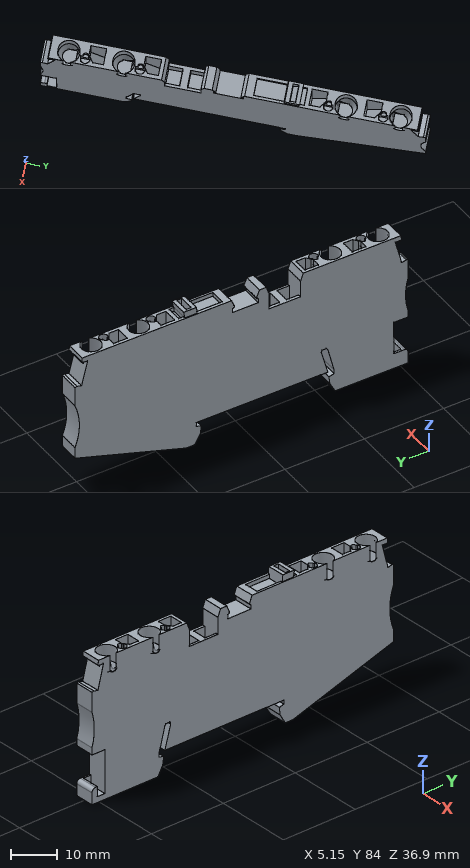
import cadquery as cq
import math

WIDTH = 5.15
LENGTH = 84.0
BODY_TOP = 35.2
PEG_TOP = 36.85
HALF_LENGTH = LENGTH / 2

LIP_REACH = 40.35
LIP_TOP_REACH = 40.2
LIP_EDGE_Z = 34.1
LIP_TIP_REACH = 39.85
LIP_TIP_Z = 33.6
RECESS_TOP_REACH = 38.8
RECESS_TOP_Z = 33.9
RECESS_BOTTOM_Z = 27.8
SHOULDER_PEAK_INSET = 0.5
SHOULDER_PEAK_Z = 28.1
SHOULDER_EDGE_Z = 27.95

HOLLOW_TOP_Z = 23.0
BACK_HOLLOW_BOTTOM_Z = 11.7
BACK_HOLLOW_DEPTH = 1.1
FRONT_HOLLOW_BOTTOM_Z = 14.2
FRONT_HOLLOW_DEPTH = 0.65

RAIL_Z = 5.85
HOOK_Z = 4.5
HOOK_RELIEF_Z = 4.85
BACK_CORNER_Z = 8.8
BACK_FOOT_OUTER_Y = 13.9
BACK_FOOT_INNER_Y = 11.8
BACK_FOOT_KNEE = (10.3, 2.6)
BACK_HOOK_TIP_Y = 10.15
BACK_HOOK_ROOT_Y = 11.4
FRONT_FOOT_INNER_Y = -23.6
FRONT_FOOT_KNEE = (-22.25, 2.5)
FRONT_HOOK_TIP_Y = -22.0

SLOT_BACK_BOTTOM_Y = -21.75
SLOT_BACK_TOP = (-20.1, 11.8)
SLOT_TOP_Z = 12.4
SLOT_TOP_BACK_Y = -20.25
SLOT_TOP_FRONT_Y = -21.4
SLOT_FRONT_TOP = (-21.75, 11.9)
SLOT_FRONT_BOTTOM_Y = -23.3

FOOT_NOTCH_TOP_Z = 12.4
FOOT_NOTCH_BOTTOM_Z = 4.0
FOOT_NOTCH_Y = -38.4
FOOT_ROUND = 1.0
FOOT_GROOVE_FRONT_Y = -40.5
FOOT_GROOVE_FLOOR_Z = 1.5
FOOT_GROOVE_WALL = 0.5

MARKER_FLOOR_Z = 31.9
MARKER_FRONT_Y = -4.2
MARKER_BACK_Y = 2.25
MARKER_UNDERCUT_Z = 32.9
MARKER_UNDERCUT = 0.5
MARKER_MOUTH_FRONT_Y = -4.5
MARKER_MOUTH_BACK_Y = 2.55
BRIDGE_FLOOR_Z = 29.1
BRIDGE_BACK_Y = -6.95
BRIDGE_FRONT_Y = -14.85
BRIDGE_FLARE = 0.7
NOTCH_KNEE_Z = 33.3

POCKET_LEFT = 0.76
POCKET_RIGHT = 4.55

PEG_SIDE_GAP = 0.2
PEG_BACK_Y = 14.5
PEG_BACK_FOOT_Y = 14.2
PEG_FRONT_Y = 11.25
PEG_FRONT_FOOT_Y = 11.0
PEG_SLOT_BACK_Y = 13.5
PEG_SLOT_FRONT_Y = 12.25
PEG_SLOT_DEPTH = 2.0
PEG_SLOT_SLOPE = 37.0
WINDOW_DEPTH = 1.0
WINDOW_FRONT_Y = 4.4
WINDOW_BACK_Y = 15.4

SHAFT_LENGTH = 3.1
SHAFT_DEPTH = 4.0

TERMINAL_REACHES = (36.15, 24.2)
FUNNEL_X = 2.9
FUNNEL_RADIUS = 2.4
FUNNEL_STRAIGHT = 4.0
FUNNEL_TAPER = 1.9
FUNNEL_FLOOR_RADIUS = 1.4
SEAT_HALF_WIDTH = 1.5
SEAT_START = 0.5
SEAT_TOP_REACH = 2.05
SEAT_FLOOR_REACH = 1.6
PROBE_X = 3.75
PROBE_OFFSET = 3.7
PROBE_RADIUS = 1.05
PROBE_FLAT_X = 3.3
PROBE_DEPTH = 3.0
RELIEF_X = 3.15
RELIEF_RADIUS = 0.6
RELIEF_DEPTH = 1.5
DRIVER_RIGHT = 4.3
DRIVER_NEAR = 4.35
DRIVER_FAR = 7.8
DRIVER_DEPTH = 8.0
DRIVER_SLOPE = 45.0
DRIVER_CORNER_X = 1.5
DRIVER_CORNER_Y = 1.1


def box(x_range, y_range, z_range):
    """Axis-aligned block given by its limits."""
    size = [high - low for low, high in (x_range, y_range, z_range)]
    block = cq.Workplane("XY").box(*size, centered=False)
    return block.translate((x_range[0], y_range[0], z_range[0]))


def side_prism(points, x_low, x_high):
    """Outline of (Y, Z) points extruded along X."""
    plane = cq.Workplane("YZ", origin=(x_low, 0, 0))
    return plane.polyline(points).close().extrude(x_high - x_low)


def cylinder(x, y, radius, z_low, z_high):
    plane = cq.Workplane("XY", origin=(x, y, z_low))
    return plane.circle(radius).extrude(z_high - z_low)


def end_outline(end):
    """Lip, recess and shoulder of one end, from top to shoulder; end is +1 (back) or -1 (front)."""
    reaches = [
        (LIP_TOP_REACH, BODY_TOP),
        (LIP_REACH, LIP_EDGE_Z),
        (LIP_TIP_REACH, LIP_TIP_Z),
        (LIP_TIP_REACH, RECESS_TOP_Z),
        (RECESS_TOP_REACH, RECESS_TOP_Z),
        (LIP_REACH, RECESS_BOTTOM_Z),
    ]
    points = [(end * reach, z) for reach, z in reaches]
    peak_y = end * (HALF_LENGTH - SHOULDER_PEAK_INSET)
    return points + [(peak_y, SHOULDER_PEAK_Z), (end * HALF_LENGTH, SHOULDER_EDGE_Z)]


def make_body():
    back_mid_z = (HOLLOW_TOP_Z + BACK_HOLLOW_BOTTOM_Z) / 2
    front_mid_z = (HOLLOW_TOP_Z + FRONT_HOLLOW_BOTTOM_Z) / 2
    underside = [
        (HALF_LENGTH, BACK_CORNER_Z),
        (BACK_FOOT_OUTER_Y, 0),
        (BACK_FOOT_INNER_Y, 0),
        BACK_FOOT_KNEE,
        (BACK_HOOK_TIP_Y, HOOK_Z),
        (BACK_HOOK_ROOT_Y, HOOK_RELIEF_Z),
        (BACK_HOOK_ROOT_Y, RAIL_Z),
        (SLOT_BACK_BOTTOM_Y, RAIL_Z),
        SLOT_BACK_TOP,
        (SLOT_TOP_BACK_Y, SLOT_TOP_Z),
        (SLOT_TOP_FRONT_Y, SLOT_TOP_Z),
        SLOT_FRONT_TOP,
        (SLOT_FRONT_BOTTOM_Y, RAIL_Z),
        (SLOT_FRONT_BOTTOM_Y, HOOK_RELIEF_Z),
        (FRONT_HOOK_TIP_Y, HOOK_Z),
        FRONT_FOOT_KNEE,
        (FRONT_FOOT_INNER_Y, 0),
        (-HALF_LENGTH, 0),
        (-HALF_LENGTH, FOOT_NOTCH_BOTTOM_Z - FOOT_ROUND),
    ]
    foot_notch = [
        (FOOT_NOTCH_Y, FOOT_NOTCH_BOTTOM_Z),
        (FOOT_NOTCH_Y, FOOT_NOTCH_TOP_Z),
        (-HALF_LENGTH, FOOT_NOTCH_TOP_Z),
        (-HALF_LENGTH, FRONT_HOLLOW_BOTTOM_Z),
    ]
    upper_notches = [
        (BRIDGE_FRONT_Y - BRIDGE_FLARE, BODY_TOP),
        (BRIDGE_FRONT_Y, NOTCH_KNEE_Z),
        (BRIDGE_FRONT_Y, BRIDGE_FLOOR_Z),
        (BRIDGE_BACK_Y, BRIDGE_FLOOR_Z),
        (BRIDGE_BACK_Y, NOTCH_KNEE_Z),
        (BRIDGE_BACK_Y + BRIDGE_FLARE, BODY_TOP),
        (MARKER_MOUTH_FRONT_Y, BODY_TOP),
        (MARKER_FRONT_Y + MARKER_UNDERCUT, NOTCH_KNEE_Z),
        (MARKER_FRONT_Y, MARKER_UNDERCUT_Z),
        (MARKER_FRONT_Y, MARKER_FLOOR_Z),
        (MARKER_BACK_Y, MARKER_FLOOR_Z),
        (MARKER_BACK_Y, MARKER_UNDERCUT_Z),
        (MARKER_BACK_Y - MARKER_UNDERCUT, NOTCH_KNEE_Z),
        (MARKER_MOUTH_BACK_Y, BODY_TOP),
    ]
    outline = cq.Workplane("YZ").polyline(end_outline(1)).lineTo(HALF_LENGTH, HOLLOW_TOP_Z)
    outline = outline.threePointArc(
        (HALF_LENGTH - BACK_HOLLOW_DEPTH, back_mid_z), (HALF_LENGTH, BACK_HOLLOW_BOTTOM_Z)
    )
    outline = outline.polyline(underside, includeCurrent=True)
    outline = outline.radiusArc((-HALF_LENGTH + FOOT_ROUND, FOOT_NOTCH_BOTTOM_Z), FOOT_ROUND)
    outline = outline.polyline(foot_notch, includeCurrent=True)
    outline = outline.threePointArc(
        (-HALF_LENGTH + FRONT_HOLLOW_DEPTH, front_mid_z), (-HALF_LENGTH, HOLLOW_TOP_Z)
    )
    outline = outline.polyline(end_outline(-1)[::-1], includeCurrent=True)
    outline = outline.polyline(upper_notches, includeCurrent=True)
    return outline.close().extrude(WIDTH)


def cut_foot_groove(body):
    """Groove behind the rounded front bead of the foot, open on the +X side."""
    groove = box(
        (FOOT_GROOVE_WALL, WIDTH),
        (FOOT_GROOVE_FRONT_Y, FOOT_NOTCH_Y),
        (FOOT_GROOVE_FLOOR_Z, FOOT_NOTCH_BOTTOM_Z),
    )
    return body.cut(groove)


def add_peg(body):
    """Marker peg with a slanted-floor slot, and a shallow window on either side of it."""
    window_z = (BODY_TOP - WINDOW_DEPTH, BODY_TOP)
    pocket_x = (POCKET_LEFT, POCKET_RIGHT)
    body = body.cut(box(pocket_x, (WINDOW_FRONT_Y, PEG_FRONT_Y), window_z))
    body = body.cut(box(pocket_x, (PEG_BACK_FOOT_Y, WINDOW_BACK_Y), window_z))
    peg = side_prism(
        [
            (PEG_FRONT_FOOT_Y, window_z[0]),
            (PEG_FRONT_Y, PEG_TOP),
            (PEG_BACK_Y, PEG_TOP),
            (PEG_BACK_FOOT_Y, BODY_TOP),
            (PEG_BACK_FOOT_Y, window_z[0]),
        ],
        PEG_SIDE_GAP,
        WIDTH - PEG_SIDE_GAP,
    )
    floor_drop = (PEG_SLOT_BACK_Y - PEG_SLOT_FRONT_Y) * math.tan(math.radians(PEG_SLOT_SLOPE))
    back_floor_z = PEG_TOP - PEG_SLOT_DEPTH
    slot = side_prism(
        [
            (PEG_SLOT_BACK_Y, PEG_TOP),
            (PEG_SLOT_BACK_Y, back_floor_z),
            (PEG_SLOT_FRONT_Y, back_floor_z - floor_drop),
            (PEG_SLOT_FRONT_Y, PEG_TOP),
        ],
        POCKET_LEFT,
        POCKET_RIGHT,
    )
    return body.union(peg).cut(slot)


def cut_bridge_shafts(body):
    shaft_z = (BRIDGE_FLOOR_Z - SHAFT_DEPTH, BRIDGE_FLOOR_Z)
    for start in (BRIDGE_FRONT_Y, BRIDGE_BACK_Y - SHAFT_LENGTH):
        shaft_y = (start, start + SHAFT_LENGTH)
        body = body.cut(box((POCKET_LEFT, POCKET_RIGHT), shaft_y, shaft_z))
    return body


def make_funnel(centre_y, inward):
    """Round mouth tapering to a floor that is squared off on its inward side."""
    taper_z = BODY_TOP - FUNNEL_STRAIGHT
    floor_z = taper_z - FUNNEL_TAPER
    mouth = cylinder(FUNNEL_X, centre_y, FUNNEL_RADIUS, taper_z, BODY_TOP)
    cone = cq.Workplane("XY", origin=(FUNNEL_X, centre_y, taper_z)).circle(FUNNEL_RADIUS)
    cone = cone.workplane(offset=-FUNNEL_TAPER).circle(FUNNEL_FLOOR_RADIUS).loft()
    seat = side_prism(
        [
            (centre_y - inward * SEAT_START, taper_z),
            (centre_y + inward * SEAT_TOP_REACH, taper_z),
            (centre_y + inward * SEAT_FLOOR_REACH, floor_z),
            (centre_y - inward * SEAT_START, floor_z),
        ],
        FUNNEL_X - SEAT_HALF_WIDTH,
        FUNNEL_X + SEAT_HALF_WIDTH,
    )
    seat = seat.intersect(cylinder(FUNNEL_X, centre_y, FUNNEL_RADIUS, floor_z, taper_z))
    return mouth.union(cone).union(seat)


def make_probe_hole(centre_y, inward):
    """D-shaped probe hole with a small shallower relief on its flat side."""
    y = centre_y + inward * PROBE_OFFSET
    floor_z = BODY_TOP - PROBE_DEPTH
    hole = cylinder(PROBE_X, y, PROBE_RADIUS, floor_z, BODY_TOP)
    keep = box((PROBE_FLAT_X, WIDTH), (y - PROBE_RADIUS, y + PROBE_RADIUS), (floor_z, BODY_TOP))
    relief = cylinder(RELIEF_X, y, RELIEF_RADIUS, BODY_TOP - RELIEF_DEPTH, BODY_TOP)
    return hole.intersect(keep).union(relief)


def make_driver_pocket(centre_y, inward):
    """Pocket whose 45-degree floor falls inward, with a clipped corner beside the probe hole."""
    near_y = centre_y + inward * DRIVER_NEAR
    far_y = centre_y + inward * DRIVER_FAR
    near_floor_z = BODY_TOP - DRIVER_DEPTH
    far_floor_z = near_floor_z - (DRIVER_FAR - DRIVER_NEAR) * math.tan(math.radians(DRIVER_SLOPE))
    pocket = side_prism(
        [(near_y, BODY_TOP), (far_y, BODY_TOP), (far_y, far_floor_z), (near_y, near_floor_z)],
        POCKET_LEFT,
        DRIVER_RIGHT,
    )
    corner = cq.Workplane("XY", origin=(0, 0, far_floor_z)).polyline(
        [
            (DRIVER_RIGHT, near_y),
            (DRIVER_RIGHT, near_y + inward * DRIVER_CORNER_Y),
            (DRIVER_RIGHT - DRIVER_CORNER_X, near_y),
        ]
    )
    return pocket.cut(corner.close().extrude(BODY_TOP - far_floor_z))


def cut_terminals(body):
    for end in (1, -1):
        for reach in TERMINAL_REACHES:
            centre_y = end * reach
            for make_cutter in (make_funnel, make_probe_hole, make_driver_pocket):
                body = body.cut(make_cutter(centre_y, -end))
    return body


result = make_body()
result = cut_foot_groove(result)
result = add_peg(result)
result = cut_bridge_shafts(result)
result = cut_terminals(result)